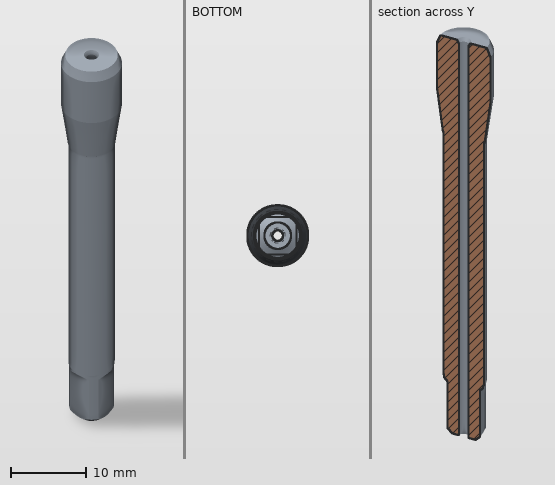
import cadquery as cq
import math

length = 62.0

head_diameter = 8.13
head_top_diameter = 7.0
head_bevel_height = 1.35
taper_start_below_top = 8.45
taper_end_below_top = 15.0
taper_end_diameter = 6.36

shank_diameter = 6.2
square_diameter = 5.95
square_journal_length = 8.9
square_across_flats = 5.0
flat_count = 4
flat_top = 8.0
tip_bevel = 1.2

bore_diameter = 1.4
bore_mouth_diameter = 2.0
bore_mouth_angle = 60.0


def make_body():
    """Revolve the outer profile of the bar around Z."""
    square_radius = square_diameter / 2
    shank_radius = shank_diameter / 2
    head_radius = head_diameter / 2
    taper_end_radius = taper_end_diameter / 2
    taper_end = length - taper_end_below_top
    step_height = taper_end_radius - shank_radius
    return (
        cq.Workplane("XZ")
        .lineTo(square_radius - tip_bevel, 0)
        .lineTo(square_radius, tip_bevel)
        .lineTo(square_radius, square_journal_length)
        .lineTo(shank_radius, square_journal_length)
        .lineTo(shank_radius, taper_end - step_height)
        .lineTo(taper_end_radius, taper_end)
        .lineTo(head_radius, length - taper_start_below_top)
        .lineTo(head_radius, length - head_bevel_height)
        .lineTo(head_top_diameter / 2, length)
        .lineTo(0, length)
        .close()
        .revolve(360, (0, 0, 0), (0, 1, 0))
    )


def make_flat_cutter():
    """Material outside one flat on the -Y side, closed by a 45 degree run-out at its upper end."""
    flat_offset = square_across_flats / 2
    outer_offset = shank_diameter / 2
    runout = outer_offset - flat_offset
    return (
        cq.Workplane("YZ")
        .moveTo(-flat_offset, 0)
        .lineTo(-flat_offset, flat_top)
        .lineTo(-outer_offset, flat_top + runout)
        .lineTo(-outer_offset, 0)
        .close()
        .extrude(shank_diameter / 2, both=True)
    )


def cut_square(body):
    """Cut the equally spaced flats of the driving square."""
    cutter = make_flat_cutter()
    for index in range(flat_count):
        turn = index * 360 / flat_count
        body = body.cut(cutter.rotate((0, 0, 0), (0, 0, 1), turn))
    return body


def cut_bore(body):
    """Drill the through bore and countersink its upper mouth with a conical centre."""
    bore_radius = bore_diameter / 2
    mouth_radius = bore_mouth_diameter / 2
    mouth_depth = (mouth_radius - bore_radius) / math.tan(math.radians(bore_mouth_angle / 2))
    bore = (
        cq.Workplane("XZ")
        .lineTo(bore_radius, 0)
        .lineTo(bore_radius, length - mouth_depth)
        .lineTo(mouth_radius, length)
        .lineTo(0, length)
        .close()
        .revolve(360, (0, 0, 0), (0, 1, 0))
    )
    return body.cut(bore)


result = cut_bore(cut_square(make_body()))